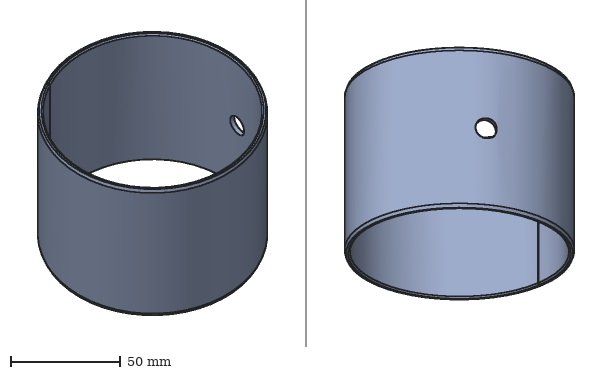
import cadquery as cq
import math

OUTER_DIAMETER = 105.0
WALL_THICKNESS = 2.5
LENGTH = 80.0

OUTER_CHAMFER_LENGTH = 1.8
OUTER_CHAMFER_ANGLE = 20.0
INNER_CHAMFER = 0.8

SEAM_ANGLE = 1.0

OIL_HOLE_DIAMETER = 10.0
OIL_HOLE_FROM_SEAM = 120.0

oil_hole_angle = 180 - SEAM_ANGLE - OIL_HOLE_FROM_SEAM
outer_radius = OUTER_DIAMETER / 2
inner_radius = outer_radius - WALL_THICKNESS
outer_chamfer_depth = OUTER_CHAMFER_LENGTH * math.tan(math.radians(OUTER_CHAMFER_ANGLE))


def make_sleeve():
    """Revolve the wall section, with its four chamfered corners, about Z and turn the open seam to -X."""
    section = [
        (inner_radius, INNER_CHAMFER),
        (inner_radius + INNER_CHAMFER, 0),
        (outer_radius - outer_chamfer_depth, 0),
        (outer_radius, OUTER_CHAMFER_LENGTH),
        (outer_radius, LENGTH - OUTER_CHAMFER_LENGTH),
        (outer_radius - outer_chamfer_depth, LENGTH),
        (inner_radius + INNER_CHAMFER, LENGTH),
        (inner_radius, LENGTH - INNER_CHAMFER),
    ]
    wrap_angle = 360 - SEAM_ANGLE
    sleeve = cq.Workplane("XZ").polyline(section).close().revolve(wrap_angle, (0, 0), (0, 1))
    return sleeve.rotate((0, 0, 0), (0, 0, 1), 180)


def make_oil_hole():
    """Radial cylinder from the axis out through one side of the wall."""
    angle = math.radians(oil_hole_angle)
    outward = cq.Vector(math.cos(angle), math.sin(angle), 0)
    start = cq.Vector(0, 0, LENGTH / 2)
    return cq.Workplane(
        cq.Solid.makeCylinder(OIL_HOLE_DIAMETER / 2, OUTER_DIAMETER, start, outward)
    )


result = make_sleeve().cut(make_oil_hole())